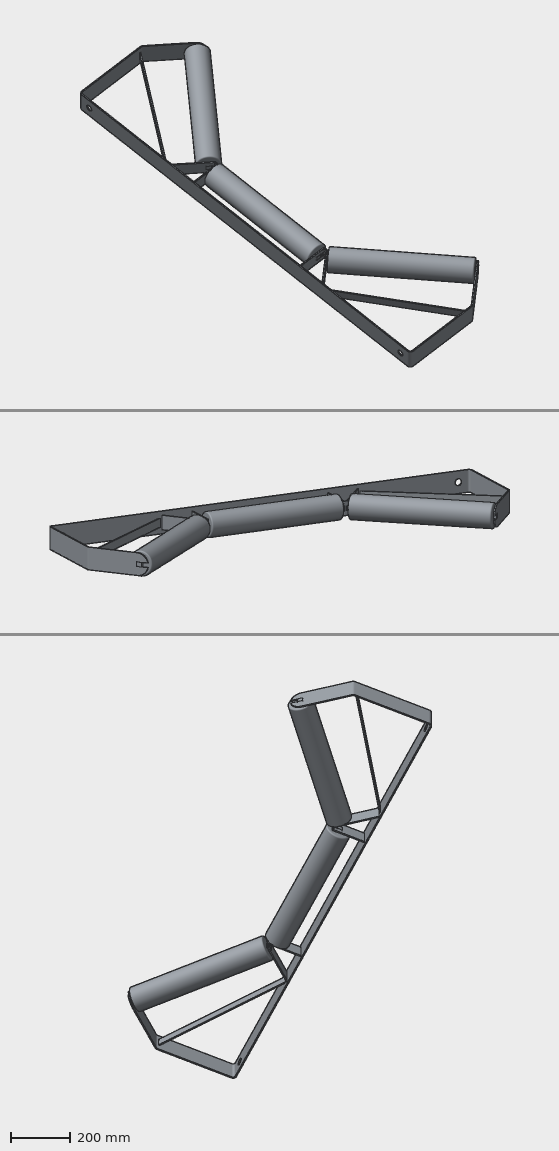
import cadquery as cq
import math

thickness = 5.0

roller_diameter = 90.0
roller_length = 500.0
edge_round = 5.0
end_gap = 5.0
trough_angle = 40.0
centre_roller_y = 98.0
side_roller_x = 480.0
side_roller_y = 274.0

axle_width = 16.0
axle_height = 20.0

frame_width = 80.0
frame_length = 1600.0
tip_height = 465.0
bend_radius = 13.0
bolt_hole_diameter = 24.0
bolt_hole_inset = 48.0

bracket_width = 51.0
bracket_height = 126.0
bracket_bend_radius = 6.0

brace_width = 32.0
brace_foot_x = 380.0
brace_head_y = 288.0

trough = math.radians(trough_angle)
along = (math.cos(trough), -math.sin(trough))
across = (math.sin(trough), math.cos(trough))
side_centre = (-side_roller_x, side_roller_y)
support_reach = roller_length / 2 + end_gap
axle_reach = support_reach + thickness
frame_end = -frame_length / 2


def move(point, run, rise):
    """The XY point moved by run along the left roller axis and by rise across it."""
    return (
        point[0] + run * along[0] + rise * across[0],
        point[1] + run * along[1] + rise * across[1],
    )


def mirrored(shape):
    return shape.mirror("YZ")


def bent_strip(outline, width):
    """Strip seen edge-on as an XY outline, centred on Z = 0."""
    return cq.Workplane("XY").polyline(outline).close().extrude(width / 2, both=True)


def round_corner(strip, point, radius):
    """Round the edge along Z that stands at the given XY point."""
    x, y = point
    reach = thickness / 10
    near = cq.selectors.BoxSelector((x - reach, y - reach, -reach), (x + reach, y + reach, reach))
    return strip.edges("|Z").edges(near).fillet(radius)


def support_plane(point, tilt=0.0):
    """Workplane in a support plate: local X is part Z, local Y points away from the base."""
    normal = (-math.cos(tilt), math.sin(tilt), 0)
    return cq.Workplane(cq.Plane(origin=(*point, 0), xDir=(0, 0, 1), normal=normal))


def axle_slot(axis_point, height, tilt=0.0):
    """Cutter for a slot that starts under the axle and runs up by the given height above its axis."""
    depth = height + axle_height / 2
    slot_middle = (height - axle_height / 2) / 2
    return (
        support_plane(axis_point, tilt)
        .center(0, slot_middle)
        .rect(axle_width, depth)
        .extrude(thickness, both=True)
    )


def make_roller():
    drum = cq.Workplane("YZ", origin=(-roller_length / 2, 0, 0))
    drum = drum.circle(roller_diameter / 2).extrude(roller_length)
    drum = drum.faces("<X or >X").edges().fillet(edge_round)
    axle = cq.Workplane("XY").box(2 * axle_reach, axle_height, axle_width)
    return drum.union(axle)


def make_frame():
    """Base, two uprights and two slanted arms, bent from one strip."""
    arm_axis = move(side_centre, -axle_reach, 0)
    knee_y = arm_axis[1] - (arm_axis[0] - frame_end) * across[1] / across[0]
    arm_length = (tip_height - knee_y) / across[1]

    heel = (frame_end, 0)
    heel_inside = (frame_end + thickness, thickness)
    knee = (frame_end, knee_y)
    knee_inside = (frame_end + thickness, knee_y - thickness * math.tan(trough / 2))
    tip = move(knee, 0, arm_length)
    tip_inside = move(tip, thickness, 0)

    left = [heel, knee, tip, tip_inside, knee_inside, heel_inside]
    right = [(-x, y) for x, y in reversed(left)]
    frame = bent_strip(left + right, frame_width)
    for side in (1, -1):
        for outer, inner in ((heel, heel_inside), (knee, knee_inside)):
            frame = round_corner(frame, (side * outer[0], outer[1]), bend_radius)
            frame = round_corner(frame, (side * inner[0], inner[1]), bend_radius - thickness)

    tip_radius = frame_width / 2
    tip_middle = support_plane(move(tip, 0, -tip_radius), trough)
    square_tip = tip_middle.center(0, tip_radius / 2).rect(frame_width, tip_radius)
    corners = square_tip.extrude(2 * thickness, both=True)
    corners = corners.cut(tip_middle.circle(tip_radius).extrude(2 * thickness, both=True))

    slot = axle_slot(arm_axis, frame_width, trough)
    for cutter in (corners, slot):
        frame = frame.cut(cutter).cut(mirrored(cutter))

    hole_x = -frame_end - bolt_hole_inset
    holes = cq.Workplane("XZ").pushPoints([(-hole_x, 0), (hole_x, 0)])
    holes = holes.circle(bolt_hole_diameter / 2).extrude(-2 * thickness)
    return frame.cut(holes)


def make_bracket():
    """Slanted plate for the side roller, a short top, and a wall for the centre roller."""
    slant_axis = move(side_centre, support_reach, 0)
    lean = across[0] / across[1]
    slant_width = thickness / along[0]
    wall = -support_reach
    top_inside = bracket_height - thickness

    def slant_x(y):
        return slant_axis[0] + (y - slant_axis[1]) * lean

    slant_top = (slant_x(bracket_height), bracket_height)
    wall_top = (wall, bracket_height)
    bracket = bent_strip(
        [
            (slant_x(thickness), thickness),
            slant_top,
            wall_top,
            (wall, thickness),
            (wall - thickness, thickness),
            (wall - thickness, top_inside),
            (slant_x(top_inside) + slant_width, top_inside),
            (slant_x(thickness) + slant_width, thickness),
        ],
        bracket_width,
    )
    for corner in (slant_top, wall_top):
        bracket = round_corner(bracket, corner, bracket_bend_radius)

    slant_slot = axle_slot(slant_axis, frame_width, trough)
    wall_slot = axle_slot((wall, centre_roller_y), frame_width)
    return bracket.cut(slant_slot).cut(wall_slot)


def make_brace():
    """Diagonal flat bar from the upright down to the base."""
    head = (frame_end + thickness, brace_head_y)
    foot = (-brace_foot_x, thickness)
    run = foot[0] - head[0]
    drop = head[1] - foot[1]
    bar_length = math.hypot(run, drop)
    foot_below = (foot[0] - thickness * bar_length / drop, foot[1])
    head_below = (head[0], head[1] - thickness * bar_length / run)
    return bent_strip([head, foot, foot_below, head_below], brace_width)


frame = make_frame()

roller = make_roller()
centre_roller = roller.translate((0, centre_roller_y, 0))
left_roller = roller.rotate((0, 0, 0), (0, 0, 1), -trough_angle).translate((*side_centre, 0))

bodies = [frame, centre_roller]
for left_body in (left_roller, make_bracket(), make_brace()):
    bodies += [left_body, mirrored(left_body)]

result = cq.Compound.makeCompound([body.val() for body in bodies])